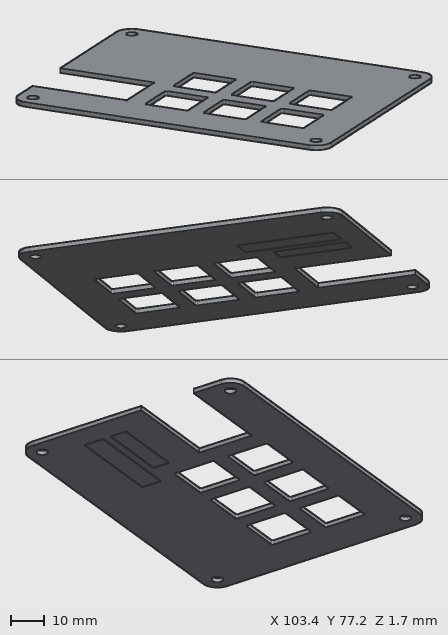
import cadquery as cq

length = 103.4
width = 77.2
total_height = 1.7
label_height = 0.15
plate_thickness = total_height - label_height
corner_radius = 5.0

hole_diameter = 3.4
hole_inset = corner_radius

key_size = 14.1
key_pitch = 19.1
key_corner_radius = 0.5
key_columns = 3
key_rows = 2
key_grid_center = (63.8, 30.4)

notch_depth = 31.1
notch_width = 18.7
notch_bottom = 14.9

label_left = 8.2
label_strips = [
    (52.7, 6.6, 30.9),
    (44.6, 5.5, 23.0),
]


def make_plate():
    """Flat plate with rounded corners."""
    plate = cq.Workplane("XY").box(length, width, plate_thickness, centered=False)
    return plate.edges("|Z").fillet(corner_radius)


def make_mounting_holes():
    """Cutters for the four corner holes."""
    return (
        cq.Workplane("XY")
        .center(length / 2, width / 2)
        .rect(length - 2 * hole_inset, width - 2 * hole_inset, forConstruction=True)
        .vertices()
        .circle(hole_diameter / 2)
        .extrude(plate_thickness)
    )


def make_key_openings():
    """Cutters for the grid of square openings with softened corners."""
    return (
        cq.Workplane("XY")
        .center(*key_grid_center)
        .rarray(key_pitch, key_pitch, key_columns, key_rows)
        .rect(key_size, key_size)
        .extrude(plate_thickness)
        .edges("|Z")
        .fillet(key_corner_radius)
    )


def make_notch():
    """Cutter for the notch in the -X edge."""
    notch = cq.Workplane("XY").box(notch_depth, notch_width, plate_thickness, centered=False)
    return notch.translate((0, notch_bottom, 0))


def make_label_strip(lower_edge, strip_width, strip_length):
    """Thin strip standing proud of the underside."""
    strip = cq.Workplane("XY").box(strip_length, strip_width, label_height, centered=False)
    return strip.translate((label_left, lower_edge, -label_height))


result = make_plate().cut(make_mounting_holes()).cut(make_key_openings()).cut(make_notch())
for lower_edge, strip_width, strip_length in label_strips:
    result = result.union(make_label_strip(lower_edge, strip_width, strip_length))